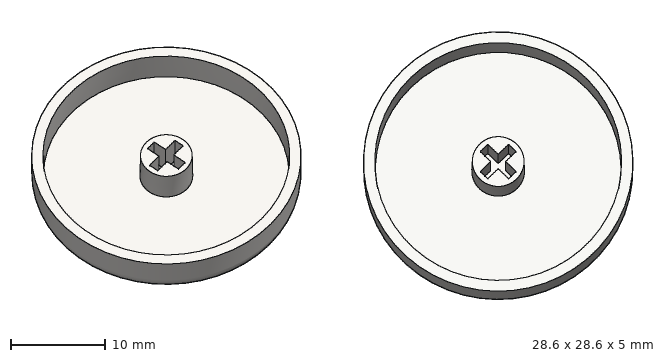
import cadquery as cq
import math

outer_diameter = 28.64
height = 5.0
bottom_fillet = 2.0
floor_thickness = 1.4
rim_width = 1.2
draft_angle = 1.0

post_top_diameter = 5.5
cross_length = 4.25
cross_slot_width = 1.12

cavity_depth = height - floor_thickness
draft_offset = cavity_depth * math.tan(math.radians(draft_angle))
socket_depth = cavity_depth


def make_frustum(bottom_diameter, top_diameter):
    """Cone frustum standing on the cavity floor and reaching the rim."""
    return (
        cq.Workplane("XY")
        .workplane(offset=floor_thickness)
        .circle(bottom_diameter / 2)
        .workplane(offset=cavity_depth)
        .circle(top_diameter / 2)
        .loft(ruled=True)
    )


def make_tray():
    """Disc with a rounded lower edge and a drafted, open-topped cavity."""
    disc = cq.Workplane("XY").circle(outer_diameter / 2).extrude(height)
    disc = disc.faces("<Z").edges().fillet(bottom_fillet)
    cavity_top_diameter = outer_diameter - 2 * rim_width
    cavity_floor_diameter = cavity_top_diameter - 2 * draft_offset
    return disc.cut(make_frustum(cavity_floor_diameter, cavity_top_diameter))


def make_post():
    """Post that narrows towards its top, level with the rim."""
    return make_frustum(post_top_diameter + 2 * draft_offset, post_top_diameter)


def make_cross_socket():
    """Two crossed slots sunk from the top of the post down to the floor level."""
    top = cq.Workplane("XY").workplane(offset=height)
    slot_x = top.rect(cross_length, cross_slot_width).extrude(-socket_depth)
    slot_y = top.rect(cross_slot_width, cross_length).extrude(-socket_depth)
    return slot_x.union(slot_y)


result = make_tray().union(make_post()).cut(make_cross_socket())